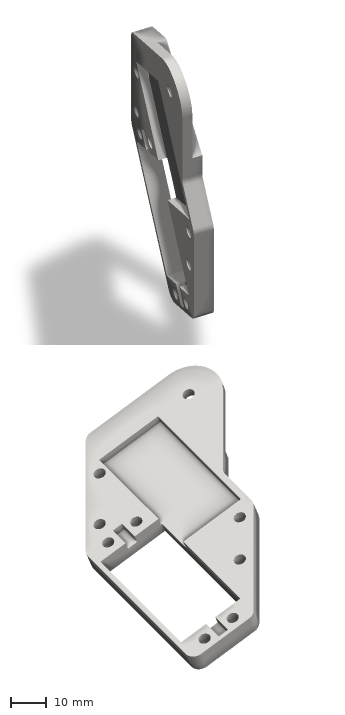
import cadquery as cq
import math

width = 49.0
height = 104.0
thickness = 6.0
corner_radius = 3.2
left_x = -width / 2
right_x = width / 2

lug_radius = 10.0
pivot_x = 5.5
pivot_z = height / 2 - lug_radius
lug_side_x = pivot_x + lug_radius
hole_diameter = 3.5

lug_thickness = 3.0
step_start_x = -12.7
step_slope_deg = 35.0

tilt = math.radians(35)
opening_width = 21.0
opening_length = 41.0
opening_x = 0.2
opening_z = -23.3
servo_hole_pitch = 10.0
servo_hole_span = 49.0
notch_width = 3.2
notch_span = 53.9

pocket_depth = 2.6
pocket_width = 20.9
pocket_overlap = 0.4
pocket_length = 42.1
pocket_offset = 29.5

opening_side_wall = 1.5
pocket_side_wall = 2.0

side_hole_inset = 4.1
left_hole_heights = (19.0, 0.9)
right_hole_heights = (-5.0, -20.1)
counterbore_diameter = 6.5
counterbore_depth = 3.5


def along(x, z):
    """Distance from the opening centre along the opening length, positive downward."""
    return (x - opening_x) * math.sin(tilt) - (z - opening_z) * math.cos(tilt)


def servo_point(a, b):
    """Plate position of a point given across and along the servo opening."""
    x = opening_x + a * math.cos(tilt) + b * math.sin(tilt)
    z = opening_z + a * math.sin(tilt) - b * math.cos(tilt)
    return x, z


def side_corner(x, across_side):
    """Where a vertical line meets a long slanted side."""
    return x, opening_z + (across_side - (x - opening_x) * math.cos(tilt)) / math.sin(tilt)


def end_corner(x, along_end):
    """Where a vertical line meets a short slanted end."""
    return x, opening_z + ((x - opening_x) * math.sin(tilt) - along_end) / math.cos(tilt)


def prism(points, start, depth):
    """Solid of a closed outline, from a distance behind the front face and running back."""
    return cq.Workplane("XZ", origin=(0, start, 0)).polyline(points).close().extrude(-depth)


def servo_block(a, b, size_a, size_b, depth):
    """Block cut into the front face, aligned with the servo opening."""
    corners = ((-1, -1), (1, -1), (1, 1), (-1, 1))
    points = [servo_point(a + i * size_a / 2, b + j * size_b / 2) for i, j in corners]
    return prism(points, 0, depth)


def round_corner(body, corner, radius):
    """Round the through-thickness edge at one corner of the outline."""
    x, z = corner
    return body.edges(cq.selectors.NearestToPointSelector((x, thickness / 2, z))).fillet(radius)


def drills(centers, diameter, depth):
    """Cylinders entering from the back face."""
    back = cq.Workplane("XZ", origin=(0, thickness, 0))
    return back.pushPoints(centers).circle(diameter / 2).extrude(depth)


lower_side = -opening_width / 2 - opening_side_wall
upper_side = opening_width / 2 - pocket_overlap + pocket_width + pocket_side_wall
upper_end = along(pivot_x, pivot_z) - lug_radius

bottom_center_z = -height / 2 + corner_radius
bottom_center_across = lower_side + corner_radius
bottom_rise = opening_z + bottom_center_across * math.sin(tilt) - bottom_center_z
lower_end = bottom_rise / math.cos(tilt) + corner_radius

lug_corner = end_corner(lug_side_x, upper_end)
small_corners = [
    end_corner(left_x, upper_end),
    side_corner(left_x, lower_side),
    servo_point(lower_side, lower_end),
    end_corner(right_x, lower_end),
    side_corner(right_x, upper_side),
    side_corner(lug_side_x, upper_side),
]

body = prism([lug_corner] + small_corners, 0, thickness)
for corner in small_corners:
    body = round_corner(body, corner, corner_radius)
body = round_corner(body, lug_corner, lug_radius)

step_start = end_corner(step_start_x, upper_end)
step_end_z = step_start[1] - (lug_side_x - step_start_x) * math.tan(math.radians(step_slope_deg))
step_outline = [step_start, (lug_side_x, step_end_z), (lug_side_x, height), (step_start_x, height)]
body = body.cut(prism(step_outline, lug_thickness, thickness))

body = body.cut(servo_block(0, 0, opening_width, opening_length, thickness))
body = body.cut(servo_block(0, 0, notch_width, notch_span, pocket_depth))
pocket_across = (opening_width + pocket_width) / 2 - pocket_overlap
body = body.cut(servo_block(pocket_across, -pocket_offset, pocket_width, pocket_length, pocket_depth))

side_holes = [(left_x + side_hole_inset, z) for z in left_hole_heights]
side_holes += [(right_x - side_hole_inset, z) for z in right_hole_heights]
servo_holes = [
    servo_point(i * servo_hole_pitch / 2, j * servo_hole_span / 2)
    for i in (-1, 1)
    for j in (-1, 1)
]
body = body.cut(drills([(pivot_x, pivot_z)] + side_holes + servo_holes, hole_diameter, thickness))

result = body.cut(drills(side_holes, counterbore_diameter, counterbore_depth))